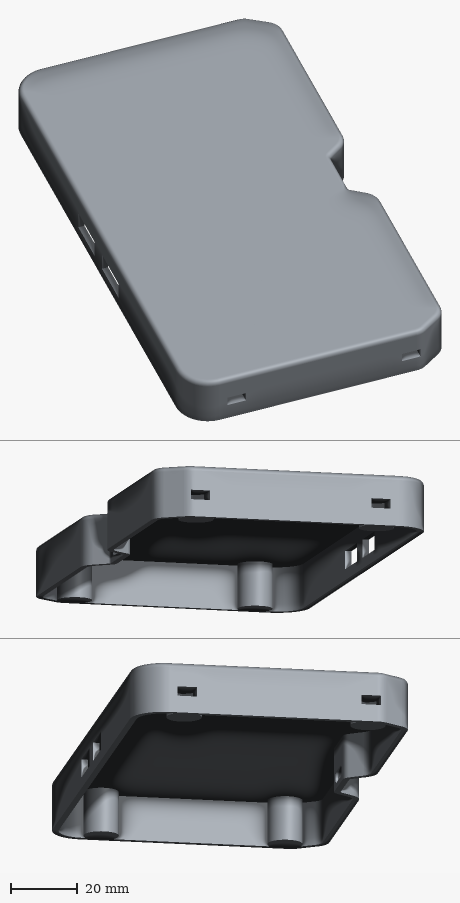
import cadquery as cq
import math

length = 151.4
width = 84.2
height = 15.5
wall = 2.0
top_edge_radius = 1.5

front_corner_radius = 10.1
back_cut_x = 6.2
back_cut_y = 9.2
back_corner_radius = 5.6
side_corner_radius = 5.3
notch_mouth_half = 12.9
notch_floor_half = 7.7
notch_depth = 7.1
notch_mouth_radius = 6.0
notch_floor_radius = 1.0

window_width = 13.8
window_height = 5.6
window_offset = 10.0
window_bottom = 3.3

slot_length = 10.3
slot_height = 3.5
slot_center_z = 3.5

nut_width = 5.9
nut_slot_height = 2.9
nut_slot_bottom = 5.1
nut_inset = 5.3
nut_positions_y = (-26.5, 29.4)
boss_radius = 5.3

half_length = length / 2
front_y = -width / 2
back_y = width / 2
notch_floor_y = back_y - notch_depth


def round_corners(body, point, radius):
    """Round the upright edge at a plan point and its mirror image in X."""
    x, y = point
    for side in (-1, 1):
        corner = cq.selectors.NearestToPointSelector((side * x, y, height / 2))
        body = body.edges(corner).fillet(radius)
    return body


def make_body():
    right_half = [
        (half_length, front_y),
        (half_length, back_y - back_cut_y),
        (half_length - back_cut_x, back_y),
        (notch_mouth_half, back_y),
        (notch_floor_half, notch_floor_y),
    ]
    left_half = [(-x, y) for x, y in reversed(right_half)]
    body = cq.Workplane("XY").polyline(right_half + left_half).close().extrude(height)

    front_corner, side_corner, back_corner, notch_mouth, notch_floor = right_half
    body = round_corners(body, front_corner, front_corner_radius)
    body = round_corners(body, side_corner, side_corner_radius)
    body = round_corners(body, back_corner, back_corner_radius)
    body = round_corners(body, notch_mouth, notch_mouth_radius)
    return round_corners(body, notch_floor, notch_floor_radius)


def make_shell():
    """Hollow the body from below, keeping an even wall and roof."""
    body = make_body()
    outline = body.faces("<Z").wires().val()
    cavity_outline = outline.offset2D(-wall)[0]
    cavity = cq.Workplane("XY").add(cavity_outline).toPending().extrude(height - wall)
    return body.faces(">Z").edges().fillet(top_edge_radius).cut(cavity)


def front_windows():
    return (
        cq.Workplane("XY")
        .pushPoints([(-window_offset, front_y), (window_offset, front_y)])
        .box(window_width, 4 * wall, window_height, centered=(True, True, False))
        .translate((0, 0, window_bottom))
    )


def notch_slot():
    return (
        cq.Workplane("XZ", origin=(0, notch_floor_y, slot_center_z))
        .slot2D(slot_length, slot_height)
        .extrude(2 * wall, both=True)
    )


def nut_boss(side, y):
    """Post from the open bottom up to the roof, merging with the side wall."""
    center_x = side * (half_length - nut_inset)
    return cq.Workplane("XY").center(center_x, y).circle(boss_radius).extrude(height - wall)


def nut_slot(side, y):
    """Straight slot from the side face, closed by the two leading flats of a hexagon."""
    half_flat = nut_width / (2 * math.sqrt(3))
    outer_x = side * half_length
    flats_start_x = side * (half_length - nut_inset - half_flat)
    point_x = side * (half_length - nut_inset - 2 * half_flat)
    return (
        cq.Workplane("XY", origin=(0, 0, nut_slot_bottom))
        .moveTo(outer_x, y - nut_width / 2)
        .lineTo(flats_start_x, y - nut_width / 2)
        .lineTo(point_x, y)
        .lineTo(flats_start_x, y + nut_width / 2)
        .lineTo(outer_x, y + nut_width / 2)
        .close()
        .extrude(nut_slot_height)
    )


result = make_shell().cut(front_windows()).cut(notch_slot())
for side in (-1, 1):
    for y in nut_positions_y:
        result = result.union(nut_boss(side, y)).cut(nut_slot(side, y))